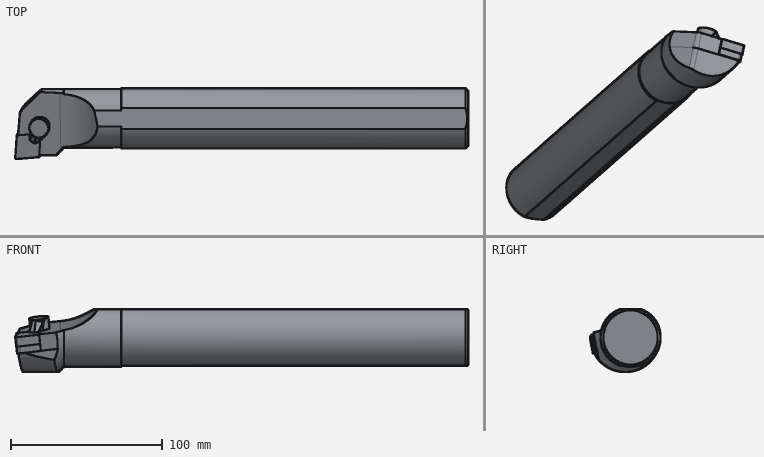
import cadquery as cq
import math


bar_length = 300.0
shank_radius = 20.0
shank_start = 70.0
flat_height = 18.75
front_bevel = 0.5
end_bevel = 2.0
neck_radius = 19.5
neck_start = 32.2

head_radius = 23.0
head_center_y = neck_radius - head_radius

tip_y = -27.0
slope_x = math.tan(math.radians(6))
slope_y = math.tan(math.radians(10))

gullet_start = 30.5
gullet_radius = 41.0
gullet_angle = math.radians(60)

insert_side = 16.1
insert_angle = 80.0
lead_angle = 5.0
insert_nose_radius = 1.2
shim_nose_radius = 2.0
insert_thickness = 6.35
shim_thickness = 4.76
seat_depth = insert_thickness + shim_thickness

front_u = 0.75
upper_side_v = 2.5
lower_side_v = 0.6
bevel_corner = (3.7, 32.0)
bevel_corner_radius = 5.0
bevel_slope = 1.05
relief_taper = 1.5

clamp_center = (16.9, 22.0)
clamp_radius = 6.4
clamp_height = 7.5
clamp_foot = [(-6.4, 0.0), (-7.2, -8.8), (-4.0, -11.5), (-1.2, -10.6), (5.8, 0.0)]
clamp_brow = [(-5.8, 0.0), (-4.4, -4.6), (-2.0, -6.0), (4.0, -4.9), (5.8, 0.0)]

far = 100.0

cutting_plane = cq.Plane(
    origin=(0, tip_y, 0),
    xDir=(1, 0, slope_x),
    normal=(-slope_x, -slope_y, 1),
)


def rounded_corner(before, corner, after, radius):
    """Start, middle and end points of an arc that rounds a corner."""
    here = cq.Vector(*corner)
    to_before = (cq.Vector(*before) - here).normalized()
    to_after = (cq.Vector(*after) - here).normalized()
    half_angle = to_before.getAngle(to_after) / 2
    setback = radius / math.tan(half_angle)
    bisector = (to_before + to_after).normalized()
    start = here + to_before * setback
    end = here + to_after * setback
    middle = here + bisector * (radius / math.sin(half_angle) - radius)
    return [(point.x, point.y) for point in (start, middle, end)]


def bar_cylinder(radius, start, end, center_y=0.0):
    """Round bar along X between two X positions."""
    return cq.Workplane("YZ", origin=(start, center_y, 0)).circle(radius).extrude(end - start)


def make_shank():
    """Round shank with bevelled ends and a clamping flat on its top and bottom."""
    shank = bar_cylinder(shank_radius, shank_start, bar_length)
    shank = shank.faces("<X").chamfer(front_bevel).faces(">X").chamfer(end_bevel)
    between_flats = cq.Workplane("XY").box(3 * bar_length, far, 2 * flat_height)
    return shank.intersect(between_flats)


def make_neck(start, end):
    """Round neck between two X positions, with the flat on its top only."""
    neck = bar_cylinder(neck_radius, start, end)
    above_flat = cq.Workplane("XY", origin=(0, 0, flat_height)).box(
        3 * bar_length, far, far, centered=(True, True, False)
    )
    return neck.cut(above_flat)


def make_head_blank():
    """Eccentric cylinder whose back is a 45 degree cone running down to the neck."""
    cylinder = bar_cylinder(head_radius, 0, neck_start, head_center_y)
    cone = (
        cq.Workplane("XY")
        .moveTo(0, 0)
        .lineTo(0, neck_radius + neck_start)
        .lineTo(neck_start, neck_radius)
        .lineTo(neck_start, 0)
        .close()
        .revolve(360, (0, 0, 0), (1, 0, 0))
    )
    return cylinder.intersect(cone)


def head_outline(depth, side_v, side_angle):
    """Outline of the head at a depth below the cutting plane; its side wall turns by side_angle from u."""
    front_corner = (front_u, side_v)
    bevel_end = (bevel_corner[0] + bevel_slope * (far - bevel_corner[1]), far)
    side_end = (front_u + far, side_v + far * math.tan(math.radians(side_angle)))
    start, middle, end = rounded_corner(front_corner, bevel_corner, bevel_end, bevel_corner_radius)
    return (
        cq.Workplane(cutting_plane)
        .workplane(offset=-depth)
        .moveTo(*front_corner)
        .lineTo(*start)
        .threePointArc(middle, end)
        .lineTo(*bevel_end)
        .lineTo(*side_end)
        .close()
    )


def make_head_envelope():
    """Head walls: square to the cutting plane down to the seat, then relieved inwards."""
    above = head_outline(-far, upper_side_v, 0).extrude(-far - seat_depth)
    below = head_outline(seat_depth, lower_side_v, lead_angle).extrude(-far / 2, taper=relief_taper)
    return above.union(below)


def make_gullet():
    """Material removed above the cutting plane, ending in a rising arc."""
    profile_plane = cq.Plane(
        origin=cutting_plane.toWorldCoords((0, -far, 0)),
        xDir=cutting_plane.xDir,
        normal=-cutting_plane.yDir,
    )

    def arc_point(angle):
        return (
            gullet_start + gullet_radius * math.sin(angle),
            gullet_radius * (1 - math.cos(angle)),
        )

    arc_end = arc_point(gullet_angle)
    return (
        cq.Workplane(profile_plane)
        .moveTo(-far, 0)
        .lineTo(gullet_start, 0)
        .threePointArc(arc_point(gullet_angle / 2), arc_end)
        .lineTo(arc_end[0], far)
        .lineTo(-far, far)
        .close()
        .extrude(-3 * far)
    )


def rhombus_plate(depth, thickness, nose_radius):
    """Insert-shaped plate whose top lies at the given depth below the cutting plane."""
    side_angle = math.radians(90 - lead_angle)
    end_angle = side_angle - math.radians(insert_angle)
    nose_center = insert_nose_radius / math.sin(math.radians(insert_angle / 2))
    bisector = (side_angle + end_angle) / 2
    tip = (
        insert_nose_radius - nose_center * math.cos(bisector),
        insert_nose_radius - nose_center * math.sin(bisector),
    )
    left = (insert_side * math.cos(side_angle), insert_side * math.sin(side_angle))
    right = (insert_side * math.cos(end_angle), insert_side * math.sin(end_angle))
    left_corner = (tip[0] + left[0], tip[1] + left[1])
    right_corner = (tip[0] + right[0], tip[1] + right[1])
    inner_corner = (left_corner[0] + right[0], left_corner[1] + right[1])
    start, middle, end = rounded_corner(left_corner, tip, right_corner, nose_radius)
    return (
        cq.Workplane(cutting_plane)
        .workplane(offset=-depth)
        .moveTo(*start)
        .threePointArc(middle, end)
        .lineTo(*right_corner)
        .lineTo(*inner_corner)
        .lineTo(*left_corner)
        .close()
        .extrude(-thickness)
    )


def make_clamp():
    """Round clamp head with a nose that slopes down onto the insert."""
    clamp_plane = cq.Workplane(cutting_plane).center(*clamp_center)
    disc = clamp_plane.circle(clamp_radius).extrude(clamp_height)
    nose = (
        clamp_plane.polyline(clamp_foot)
        .close()
        .workplane(offset=clamp_height)
        .polyline(clamp_brow)
        .close()
        .loft(ruled=True)
    )
    return disc.union(nose)


def make_holder(insert):
    """Holder with the shim and clamp as parts of it, and a pocket the exact shape of the insert."""
    head = make_head_blank().union(make_neck(0, neck_start)).intersect(make_head_envelope())
    neck = make_neck(neck_start, shank_start)
    body = head.union(neck).union(make_shank()).cut(make_gullet())
    shim = rhombus_plate(insert_thickness, shim_thickness, shim_nose_radius)
    return body.union(shim).cut(insert).union(make_clamp())


insert = rhombus_plate(0, insert_thickness, insert_nose_radius)
holder = make_holder(insert)

result = cq.Compound.makeCompound([holder.val(), insert.val()])